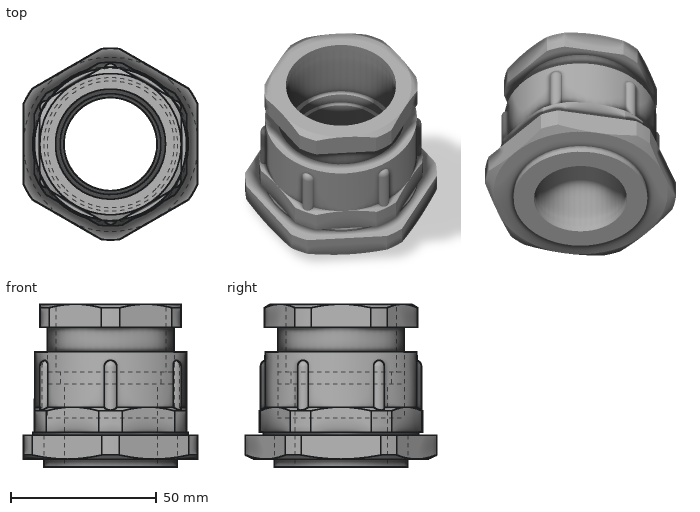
import cadquery as cq
import math


nut_bottom = 2.75
nut_top = 11.0
gasket_top = 12.0
collar_bottom = 20.6
housing_top = 39.6
head_bottom = 48.0
head_top = 56.0

spigot_radius = 23.0
housing_hex_flats = 52.3
housing_hex_corners = 56.3
collar_radius = housing_hex_flats / 2
passage_radius = 16.0
chamber_floor = 17.0

rib_count = 6
rib_radius = 2.2
rib_reach = 27.7
rib_dome_base = 34.6
rib_bottom = gasket_top

head_flats = 48.6
head_corners = 52.8
neck_radius = 21.85
screw_bore_radius = 18.95
screw_bottom = 32.7

ring_bore_radius = 17.35
ring_height = 4.0
ring_bottom = screw_bottom - ring_height
gasket_radius = 26.8

nut_flats = 60.0
nut_corners = 66.0

head_chamfer_angle = 30.0
housing_chamfer_angle = 33.0
nut_chamfer_angle = 25.0


def cylinder(radius, bottom, top):
    return cq.Workplane("XY").workplane(offset=bottom).circle(radius).extrude(top - bottom)


def tube(outer_radius, inner_radius, bottom, top):
    section = cq.Workplane("XY").workplane(offset=bottom).circle(outer_radius).circle(inner_radius)
    return section.extrude(top - bottom)


def chamfered_hexagon(flats, corners, bottom, top, chamfer_angle):
    """Hexagon with corners on the Y axis, turned to a round and coned off at its top end."""
    sharp_corners = flats / math.cos(math.pi / 6)
    prism = cq.Workplane("XY").workplane(offset=bottom).polygon(6, sharp_corners).extrude(top - bottom)
    prism = prism.rotate((0, 0, 0), (0, 0, 1), 90)
    chamfer_width = (corners - flats) / 2
    chamfer_drop = chamfer_width * math.tan(math.radians(chamfer_angle))
    turned_blank = (
        cq.Workplane("XZ")
        .moveTo(0, bottom)
        .lineTo(corners / 2, bottom)
        .lineTo(corners / 2, top - chamfer_drop)
        .lineTo(flats / 2, top)
        .lineTo(0, top)
        .close()
        .revolve(360, (0, 0, 0), (0, 1, 0))
    )
    return prism.intersect(turned_blank)


def make_rib():
    """Upright round rib with a spherical top, sunk into the +Y side of the collar."""
    rib_offset = rib_reach - rib_radius
    shaft = cylinder(rib_radius, rib_bottom, rib_dome_base)
    dome = cq.Workplane("XY").sphere(rib_radius).translate((0, 0, rib_dome_base))
    return shaft.union(dome).translate((0, rib_offset, 0))


def make_housing():
    hexagon = chamfered_hexagon(
        housing_hex_flats, housing_hex_corners, gasket_top, collar_bottom, housing_chamfer_angle
    )
    body = cylinder(collar_radius, collar_bottom, housing_top).union(hexagon)
    body = body.union(cylinder(spigot_radius, 0, gasket_top))
    rib = make_rib()
    for index in range(rib_count):
        body = body.union(rib.rotate((0, 0, 0), (0, 0, 1), index * 360 / rib_count))
    body = body.cut(cylinder(passage_radius, 0, chamber_floor))
    return body.cut(cylinder(neck_radius, chamber_floor, housing_top))


def make_pressure_screw():
    head = chamfered_hexagon(head_flats, head_corners, head_bottom, head_top, head_chamfer_angle)
    screw = head.union(cylinder(neck_radius, screw_bottom, head_bottom))
    return screw.cut(cylinder(screw_bore_radius, screw_bottom, head_top))


def make_locknut():
    """Hexagon nut on the spigot, with its chamfered end facing down."""
    nut = chamfered_hexagon(nut_flats, nut_corners, nut_bottom, nut_top, nut_chamfer_angle)
    nut_middle = (nut_bottom + nut_top) / 2
    nut = nut.rotate((0, 0, nut_middle), (1, 0, nut_middle), 180)
    return nut.cut(cylinder(spigot_radius, nut_bottom, nut_top))


housing = make_housing()
pressure_screw = make_pressure_screw()
locknut = make_locknut()
gasket = tube(gasket_radius, spigot_radius, nut_top, gasket_top)
sealing_ring = tube(neck_radius, passage_radius, chamber_floor, ring_bottom)
friction_ring = tube(neck_radius, ring_bore_radius, ring_bottom, screw_bottom)

result = cq.Compound.makeCompound([
    housing.val(),
    pressure_screw.val(),
    locknut.val(),
    gasket.val(),
    sealing_ring.val(),
    friction_ring.val(),
])